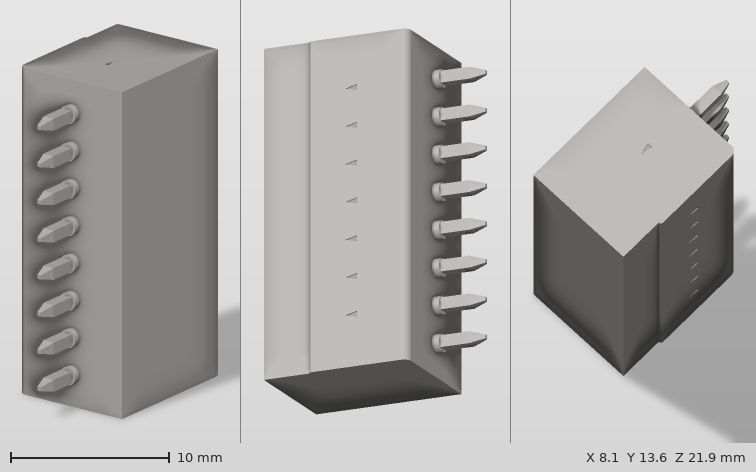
import cadquery as cq

height = 21.9
width = 8.1
depth = 10.1
rear_step_length = 3.2
rear_step_depth = 0.2
step_edge_radius = rear_step_depth
front_edge_radius = 0.5

pin_count = 8
row_length = 17.5
pin_x = 4.2
collar_diameter = 1.2
collar_length = 0.5
pin_side = 0.79
pin_tip_side = 0.26
pin_length = 3.5
tip_length = 1.0

mark_base_y = 3.55
mark_length = 0.79
mark_width = 0.4
mark_depth = 0.09

pin_pitch = row_length / (pin_count - 1)
first_pin_z = (height - row_length) / 2
pin_heights = [first_pin_z + i * pin_pitch for i in range(pin_count)]
gap_heights = [z + pin_pitch / 2 for z in pin_heights[:-1]]


def make_housing():
    """Block with a shallow step along the rear of its -X side and two rounded upright edges."""
    step_y = depth - rear_step_length
    outline = (
        cq.Workplane("XY")
        .moveTo(front_edge_radius, 0)
        .lineTo(width, 0)
        .lineTo(width, depth)
        .lineTo(rear_step_depth, depth)
        .lineTo(rear_step_depth, step_y)
        .radiusArc((0, step_y - step_edge_radius), -step_edge_radius)
        .lineTo(0, front_edge_radius)
        .radiusArc((front_edge_radius, 0), -front_edge_radius)
        .close()
    )
    return outline.extrude(height)


def make_pin(z):
    """Round collar and square pin with a tapered tip, pointing along -Y."""
    base = cq.Workplane("XZ", origin=(pin_x, 0, z))
    collar = base.circle(collar_diameter / 2).extrude(collar_length)
    shank_length = pin_length - tip_length
    shank = base.rect(pin_side, pin_side).extrude(shank_length)
    tip = (
        base.workplane(offset=shank_length)
        .rect(pin_side, pin_side)
        .workplane(offset=tip_length)
        .rect(pin_tip_side, pin_tip_side)
        .loft(ruled=True)
    )
    return collar.union(shank).union(tip)


def mark_points(center):
    """Triangle corners as (across, y) pairs, centred on the given position across the mark."""
    return [
        (center - mark_width / 2, mark_base_y),
        (center + mark_width / 2, mark_base_y),
        (center, mark_base_y + mark_length),
    ]


def make_top_mark():
    """Cutter for the mark in the top face, in line with the pins."""
    plane = cq.Workplane("XY", origin=(0, 0, height))
    return plane.polyline(mark_points(pin_x)).close().extrude(-mark_depth)


def make_side_mark(z):
    """Cutter for a mark in the -X face."""
    corners = [(y, across) for across, y in mark_points(z)]
    return cq.Workplane("YZ").polyline(corners).close().extrude(mark_depth)


result = make_housing().cut(make_top_mark())
for gap_z in gap_heights:
    result = result.cut(make_side_mark(gap_z))
for pin_z in pin_heights:
    result = result.union(make_pin(pin_z))